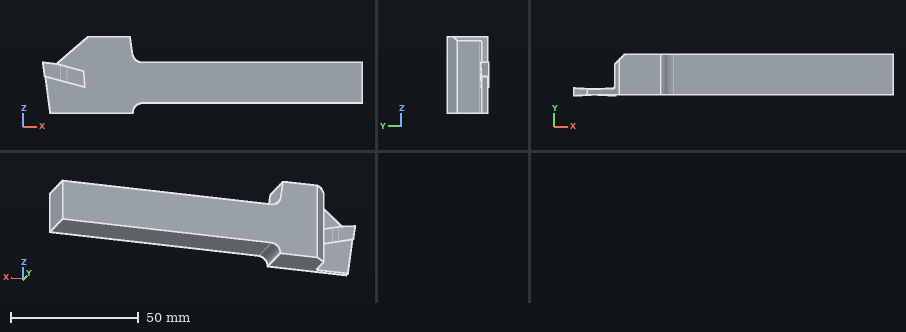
import cadquery as cq
import math

LENGTH = 125.0
DEPTH = 16.0
SHANK_BOTTOM = 4.0
SHANK_TOP = SHANK_BOTTOM + 16.0
HEAD_TOP = 30.0
NECK_BOTTOM_X = 35.2
NECK_TOP_X = 34.1
NECK_LEAN = math.radians(8.5)
NECK_RADIUS = 3.8
SLOPE_TOP_X = 17.8

BLADE_THICKNESS = 2.4
BLADE_TOE_X = 2.6
BLOCK_FRONT_X = 16.0
BLOCK_CHAMFER = 4.0
BLADE_FILLET = 1.1

INSERT_OVERHANG = 0.4
SEAT_SLOPE = math.radians(15)
HEEL_TOP = (16.0, 16.5)
HEEL_BOTTOM = (16.5, 10.2)
MOUTH_TOP_X = 5.4
FRONT_RELIEF = 0.2
WAIST_START = 6.9
WAIST_END = 9.4

front_slope = BLADE_TOE_X / SHANK_TOP
MOUTH_TOP = (MOUTH_TOP_X, HEEL_TOP[1] + (HEEL_TOP[0] - MOUTH_TOP_X) * math.tan(SEAT_SLOPE))


def seat_height(x):
    """Height of the insert's lower face at x."""
    return HEEL_BOTTOM[1] + (HEEL_BOTTOM[0] - x) * math.tan(SEAT_SLOPE)


def front_point(setback):
    """Point where a front face with the given setback meets the insert's lower face."""
    front_at_seat = BLADE_TOE_X - front_slope * seat_height(0) + setback
    x = front_at_seat / (1 - front_slope * math.tan(SEAT_SLOPE))
    return (x, seat_height(x))


def extrude_outline(points, y_start, y_end):
    """Prism with an XZ outline, reaching from y_start to y_end."""
    plane = cq.Workplane("XZ", origin=(0, y_start, 0))
    return plane.polyline(points).close().extrude(y_start - y_end)


def insert_outline():
    """Corners of the insert's side face, also the outline of its slot."""
    return [(0, SHANK_TOP), MOUTH_TOP, HEEL_TOP, HEEL_BOTTOM, front_point(0)]


def make_holder():
    lower_root_x = NECK_BOTTOM_X + SHANK_BOTTOM * math.tan(NECK_LEAN)
    upper_root_x = NECK_TOP_X + (HEAD_TOP - SHANK_TOP) * math.tan(NECK_LEAN)
    body = extrude_outline(
        [
            (BLADE_TOE_X + FRONT_RELIEF, 0),
            (NECK_BOTTOM_X, 0),
            (lower_root_x, SHANK_BOTTOM),
            (LENGTH, SHANK_BOTTOM),
            (LENGTH, SHANK_TOP),
            (upper_root_x, SHANK_TOP),
            (NECK_TOP_X, HEAD_TOP),
            (SLOPE_TOP_X, HEAD_TOP),
            MOUTH_TOP,
            front_point(0),
            front_point(FRONT_RELIEF),
        ],
        0,
        DEPTH,
    )
    for root_x, root_z in ((lower_root_x, SHANK_BOTTOM), (upper_root_x, SHANK_TOP)):
        root_edge = cq.selectors.NearestToPointSelector((root_x, DEPTH / 2, root_z))
        body = body.edges(root_edge).fillet(NECK_RADIUS)
    return body.cut(blade_relief())


def blade_relief():
    """Space behind the blade, with the fillet and chamfer of the block left standing."""
    fillet_middle = BLADE_FILLET * (1 - math.sqrt(0.5))
    return (
        cq.Workplane("XY")
        .moveTo(0, BLADE_THICKNESS)
        .lineTo(BLOCK_FRONT_X - BLADE_FILLET, BLADE_THICKNESS)
        .threePointArc(
            (BLOCK_FRONT_X - fillet_middle, BLADE_THICKNESS + fillet_middle),
            (BLOCK_FRONT_X, BLADE_THICKNESS + BLADE_FILLET),
        )
        .lineTo(BLOCK_FRONT_X, DEPTH - BLOCK_CHAMFER)
        .lineTo(BLOCK_FRONT_X + BLOCK_CHAMFER, DEPTH)
        .lineTo(0, DEPTH)
        .close()
        .extrude(HEAD_TOP)
    )


def make_insert():
    """Insert that tapers from its cutting end to a waist flush with the blade and widens again to its heel."""
    blank = extrude_outline(insert_outline(), -INSERT_OVERHANG, BLADE_THICKNESS + INSERT_OVERHANG)
    heel_x = HEEL_BOTTOM[0]
    front_edge = [
        (0, -INSERT_OVERHANG),
        (WAIST_START, 0),
        (WAIST_END, 0),
        (heel_x, -INSERT_OVERHANG),
    ]
    back_edge = [(x, BLADE_THICKNESS - y) for x, y in reversed(front_edge)]
    plan = cq.Workplane("XY").polyline(front_edge + back_edge).close().extrude(HEAD_TOP)
    return blank.intersect(plan)


holder = make_holder()
insert = make_insert()
holder = holder.cut(insert)

result = cq.Compound.makeCompound([holder.val(), insert.val()])